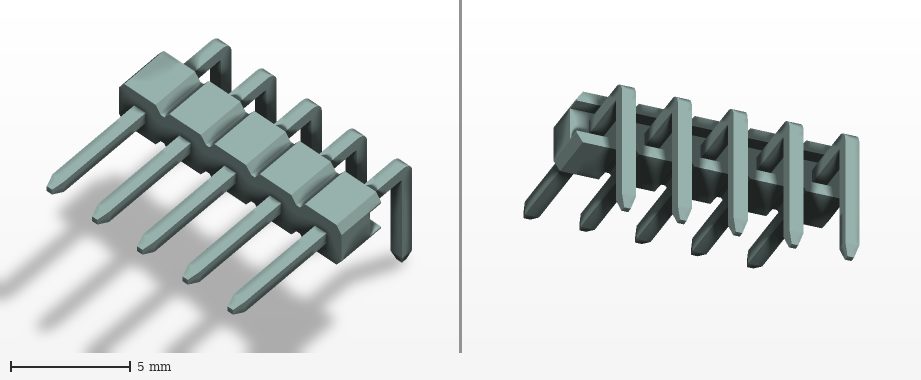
import cadquery as cq


PIN_COUNT = 5
PITCH = 2.54

BODY_LENGTH = 12.5
BODY_DEPTH = 2.5
BODY_HEIGHT = 2.5
CORNER_WIDTH = 0.29
CORNER_HEIGHT = 0.42
SLOT_DEPTH = 0.7
SLOT_HEIGHT = 1.48

PIN_SIZE = 0.64
PIN_FRONT_REACH = 5.72
PIN_BACK_REACH = 2.92
PIN_DROP = 5.85
TIP_LENGTH = 0.55
TIP_SIZE = 0.3
BEND_OUTER_RADIUS = 0.6
BEND_INNER_RADIUS = 0.1

FIRST_PIN_X = -PITCH * (PIN_COUNT - 1) / 2
PIN_X_POSITIONS = [FIRST_PIN_X + PITCH * i for i in range(PIN_COUNT)]
CELL_WIDTH = BODY_LENGTH - PITCH * (PIN_COUNT - 1)
HALF_CELL = CELL_WIDTH / 2
HALF_HEIGHT = BODY_HEIGHT / 2
SHOULDER_Z = HALF_HEIGHT - CORNER_HEIGHT
BODY_FRONT_Y = -BODY_DEPTH / 2
BODY_BACK_Y = BODY_DEPTH / 2
HALF_PIN = PIN_SIZE / 2
MATING_TIP_Y = BODY_FRONT_Y - PIN_FRONT_REACH
LEG_BACK_Y = BODY_BACK_Y + PIN_BACK_REACH
LEG_AXIS_Y = LEG_BACK_Y - HALF_PIN
TAPER_START_Y = MATING_TIP_Y + TIP_LENGTH
TAPER_START_Z = -PIN_DROP + TIP_LENGTH


def body_outline():
    """Points of the XZ outline: cells with sloped corners, joined at shoulder height."""
    upper = []
    for x in PIN_X_POSITIONS:
        upper.append((x - HALF_CELL, SHOULDER_Z))
        upper.append((x - HALF_CELL + CORNER_WIDTH, HALF_HEIGHT))
        upper.append((x + HALF_CELL - CORNER_WIDTH, HALF_HEIGHT))
        upper.append((x + HALF_CELL, SHOULDER_Z))
    lower = [(x, -z) for x, z in reversed(upper)]
    return upper + lower


def make_body():
    """Plastic body with a slot running the full length of its back face."""
    body = (
        cq.Workplane("XZ", origin=(0, BODY_BACK_Y, 0))
        .polyline(body_outline())
        .close()
        .extrude(BODY_DEPTH)
    )
    slot = cq.Workplane("XY").box(BODY_LENGTH, SLOT_DEPTH, SLOT_HEIGHT)
    return body.cut(slot.translate((0, BODY_BACK_Y - SLOT_DEPTH / 2, 0)))


def make_tip(start_plane):
    """Square taper growing from the end of a pin along the plane normal."""
    return (
        cq.Workplane(start_plane)
        .rect(PIN_SIZE, PIN_SIZE)
        .workplane(offset=TIP_LENGTH)
        .rect(TIP_SIZE, TIP_SIZE)
        .loft(combine=True)
    )


def make_pin():
    """One bent pin centred on X = 0."""
    leg_front_y = LEG_BACK_Y - PIN_SIZE
    shank = (
        cq.Workplane("YZ", origin=(-HALF_PIN, 0, 0))
        .moveTo(TAPER_START_Y, HALF_PIN)
        .lineTo(LEG_BACK_Y, HALF_PIN)
        .lineTo(LEG_BACK_Y, TAPER_START_Z)
        .lineTo(leg_front_y, TAPER_START_Z)
        .lineTo(leg_front_y, -HALF_PIN)
        .lineTo(TAPER_START_Y, -HALF_PIN)
        .close()
        .extrude(PIN_SIZE)
    )
    outer_corner = cq.selectors.NearestToPointSelector((0, LEG_BACK_Y, HALF_PIN))
    shank = shank.edges("|X").edges(outer_corner).fillet(BEND_OUTER_RADIUS)
    inner_corner = cq.selectors.NearestToPointSelector((0, leg_front_y, -HALF_PIN))
    shank = shank.edges("|X").edges(inner_corner).fillet(BEND_INNER_RADIUS)

    mating_plane = cq.Plane(origin=(0, TAPER_START_Y, 0), xDir=(1, 0, 0), normal=(0, -1, 0))
    solder_plane = cq.Plane(origin=(0, LEG_AXIS_Y, TAPER_START_Z), xDir=(1, 0, 0), normal=(0, 0, -1))
    return shank.union(make_tip(mating_plane)).union(make_tip(solder_plane))


pin = make_pin()
result = make_body()
for pin_x in PIN_X_POSITIONS:
    result = result.union(pin.translate((pin_x, 0, 0)))